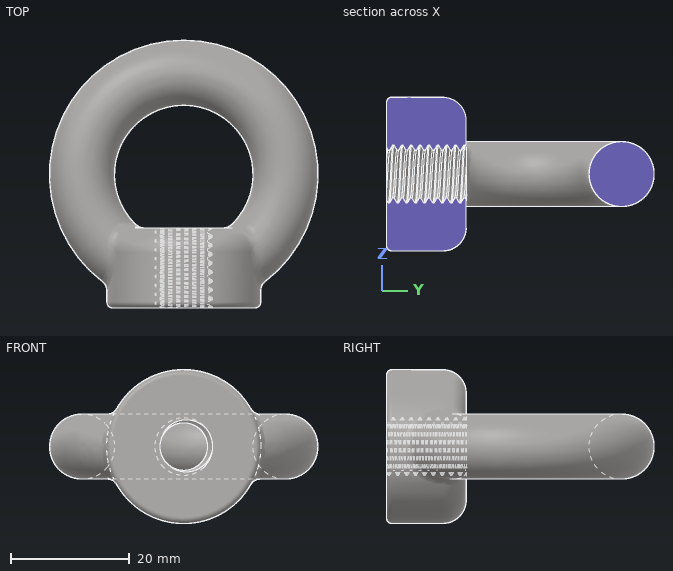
import cadquery as cq
import math


RING_OUTER_RADIUS = 22.65
RING_TUBE_RADIUS = 5.5
RING_CENTRE_RADIUS = RING_OUTER_RADIUS - RING_TUBE_RADIUS
RING_GAP_HALF_ANGLE = 20

BOSS_RADIUS = 13.0
BOSS_FACE_Y = -22.5
BOSS_LENGTH = 13.5
BOSS_FACE_FILLET = 1.0
BOSS_SHOULDER_FILLET = 4.0
RING_BLEND_RADIUS = 2.0

THREAD_PITCH = 1.5
THREAD_BORE_RADIUS = 4.0
GROOVE_ROOT_RADIUS = 4.86
GROOVE_ROOT_WIDTH = THREAD_PITCH / 8
FLANK_HALF_ANGLE = 30
GROOVE_CUTTER_INNER_RADIUS = 3.9
GROOVE_START_ANGLE = 16


def make_ring():
    sweep = 360 - 2 * RING_GAP_HALF_ANGLE
    ring = (
        cq.Workplane("XZ")
        .center(RING_CENTRE_RADIUS, 0)
        .circle(RING_TUBE_RADIUS)
        .revolve(sweep, (-RING_CENTRE_RADIUS, 0), (-RING_CENTRE_RADIUS, 1))
    )
    return ring.rotate((0, 0, 0), (0, 0, 1), RING_GAP_HALF_ANGLE - 90)


def make_boss():
    boss = (
        cq.Workplane("XZ", origin=(0, BOSS_FACE_Y, 0))
        .circle(BOSS_RADIUS)
        .extrude(-BOSS_LENGTH)
    )
    boss = boss.faces("<Y").edges().fillet(BOSS_FACE_FILLET)
    return boss.faces(">Y").edges().fillet(BOSS_SHOULDER_FILLET)


def make_blended_body():
    """Join ring and boss and round the two curves where they meet."""
    body = make_ring().union(make_boss())
    return body.edges("%BSPLINE").fillet(RING_BLEND_RADIUS)


def make_bore():
    return (
        cq.Workplane("XZ", origin=(0, BOSS_FACE_Y, 0))
        .circle(THREAD_BORE_RADIUS)
        .extrude(-BOSS_LENGTH)
    )


def make_thread_groove():
    """Right-handed helical cutter that overruns the boss by one pitch at each end."""
    flank_rise = GROOVE_ROOT_RADIUS - GROOVE_CUTTER_INNER_RADIUS
    half_root = GROOVE_ROOT_WIDTH / 2
    half_mouth = half_root + flank_rise * math.tan(math.radians(FLANK_HALF_ANGLE))
    helix = cq.Wire.makeHelix(THREAD_PITCH, BOSS_LENGTH + 2 * THREAD_PITCH, THREAD_BORE_RADIUS)
    groove = (
        cq.Workplane("XZ")
        .polyline([
            (GROOVE_CUTTER_INNER_RADIUS, -half_mouth),
            (GROOVE_ROOT_RADIUS, -half_root),
            (GROOVE_ROOT_RADIUS, half_root),
            (GROOVE_CUTTER_INNER_RADIUS, half_mouth),
        ])
        .close()
        .sweep(cq.Workplane(helix), isFrenet=True)
    )
    groove = groove.rotate((0, 0, 0), (0, 0, 1), -GROOVE_START_ANGLE)
    groove = groove.rotate((0, 0, 0), (1, 0, 0), -90)
    return groove.translate((0, BOSS_FACE_Y - THREAD_PITCH, 0))


result = make_blended_body().cut(make_thread_groove()).cut(make_bore())